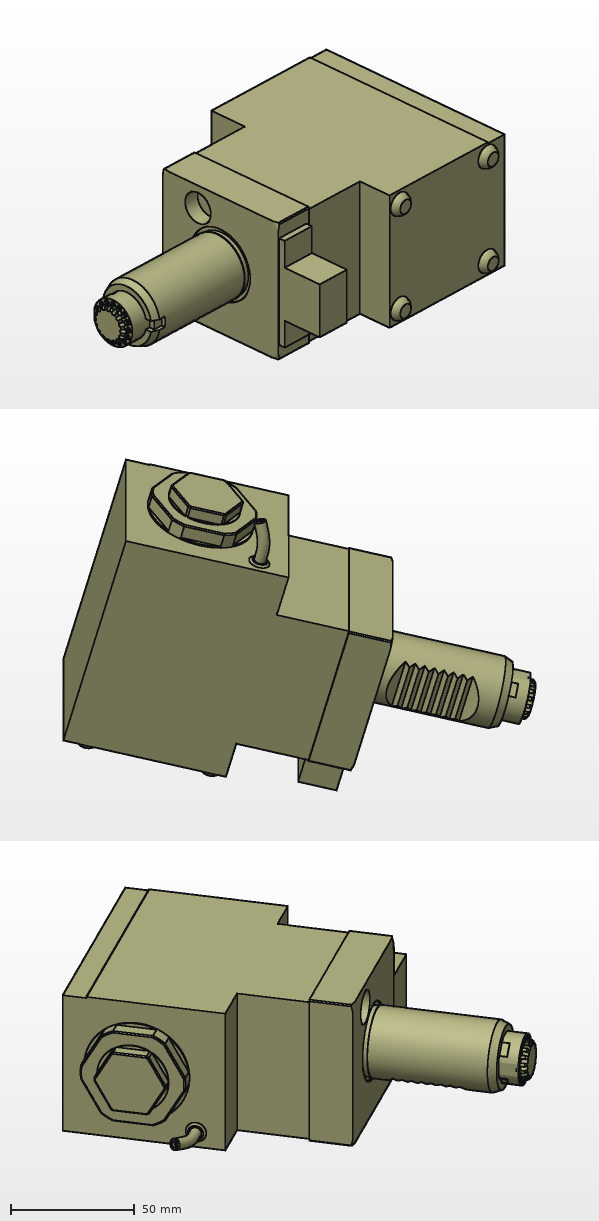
import cadquery as cq
import math


HOUSING_LEFT = -50.3
HOUSING_RIGHT = 48.2
HOUSING_FRONT = 48.3
HOUSING_BACK = 116.2
HOUSING_HEIGHT = 62.0
BACK_STEP_LENGTH = 9.9
BACK_STEP_DROP = 0.5

FLANGE_SIZE = 64.0
NECK_WIDTH = 63.7
FLANGE_THICKNESS = 18.2
FLANGE_EDGE_CHAMFER = 0.5
CORNER_CUT_LEG = 3.3
CORNER_CUT_DEPTH = 0.7
FLANGE_HOLE_DIAMETER = 14.2
FLANGE_HOLE_DEPTH = 7.3
FLANGE_HOLE_X = -12.4
FLANGE_HOLE_Z = 21.5

KEY_FRONT = 0.5
KEY_DEPTH = 16.0
KEY_BASE_RIGHT = 35.0
KEY_BASE_HEIGHT = 50.0
KEY_RIGHT = 54.4
KEY_HEIGHT = 24.8

SHANK_DIAMETER = 30.0
SHANK_LENGTH = 55.0
SHANK_TIP_DIAMETER = 27.0
SHANK_TIP_LENGTH = 3.5
COLLAR_DIAMETER = 29.2
COLLAR_LENGTH = 1.5
COLLAR_RECESS_DIAMETER = 33.0
COLLAR_RECESS_DEPTH = 1.0

SERRATION_PITCH = 4.0
SERRATION_COUNT = 7
SERRATION_START = 11.0
SERRATION_ROOT_Z = -10.2
SERRATION_TOOTH_HEIGHT = 1.5
SERRATION_RAMP = 4.7

END_SLOT_WIDTH = 5.0
END_SLOT_STEP_RADIUS = 13.0
END_SLOT_INNER_DEPTH = 2.2
END_SLOT_OUTER_DEPTH = 6.5

NOSE_DIAMETER = 21.3
NOSE_LENGTH = 8.2
NOSE_FLAT_HALF_WIDTH = 2.7
POCKET_WIDTH = 5.8
POCKET_LENGTH = 3.3
POCKET_DEPTH = 0.4

SPLINE_DIAMETER = 16.5
SPLINE_TIP_DIAMETER = 14.2
SPLINE_ROOT_DIAMETER = 13.1
SPLINE_LENGTH = 3.0
SPLINE_CHAMFER_LENGTH = 1.0
SPLINE_TEETH = 16
SPLINE_GROOVE_WIDTH = 1.7
FACE_DIMPLE_DIAMETER = 2.2
FACE_DIMPLE_RADIUS = 9.0
FACE_DIMPLE_DEPTH = 1.0

SPINDLE_Y = 85.2
CLAMP_NUT_FLATS = 40.7
CLAMP_NUT_ROUND = 44.0
CLAMP_NUT_LENGTH = 6.7
TOOL_HEX_FLATS = 26.5
TOOL_HEX_ROUND = 30.0
TOOL_HEX_LENGTH = 4.7
WASHER_LENGTH = 0.7
TOOL_RECESS_DEPTH = 0.4
HEX_EDGE_CHAMFER = 0.5

TUBE_DIAMETER = 5.0
TUBE_BORE = 2.2
TUBE_BORE_DEPTH = 1.8
TUBE_Y = 60.5
TUBE_Z = -24.3
TUBE_STRAIGHT = 4.0
TUBE_BEND_RADIUS = 17.9
TUBE_BEND_ANGLE = 30
TUBE_TURN = 30
TUBE_END_LENGTH = 5.5
TUBE_TIP_CHAMFER = 0.5
TUBE_FOOT_DIAMETER = 8.5
TUBE_FOOT_TOP_DIAMETER = 6.4
TUBE_FOOT_LENGTH = 0.7

SCREW_DIAMETER = 10.5
SCREW_TOP_DIAMETER = 6.4
SCREW_HEIGHT = 3.3
SCREW_Y_POSITIONS = (54.4, 106.0)
SCREW_Z = 24.5

OVERLAP = 1.0


def block(x_range, y_range, z_range):
    """Axis-aligned box given by its limits on each axis."""
    (x0, x1), (y0, y1), (z0, z1) = x_range, y_range, z_range
    return cq.Workplane("XY").box(x1 - x0, y1 - y0, z1 - z0, centered=False).translate((x0, y0, z0))


def rod(diameter, y_start, length):
    """Cylinder on the shank axis, growing from y_start towards -Y."""
    return cq.Workplane("XZ").workplane(offset=-y_start).circle(diameter / 2).extrude(length)


def make_housing():
    half = HOUSING_HEIGHT / 2
    body = block((HOUSING_LEFT, HOUSING_RIGHT), (HOUSING_FRONT, HOUSING_BACK), (-half, half))
    step_start = HOUSING_BACK - BACK_STEP_LENGTH
    back_step = block((HOUSING_LEFT, HOUSING_RIGHT), (step_start, HOUSING_BACK), (half - BACK_STEP_DROP, half))
    half_neck = NECK_WIDTH / 2
    neck = block((-half_neck, half_neck), (0, HOUSING_FRONT), (-half, half))
    return body.cut(back_step).union(neck)


def make_flange():
    half = FLANGE_SIZE / 2
    flange = block((-half, half), (0, FLANGE_THICKNESS), (-half, half))
    return flange.edges("|Y").chamfer(FLANGE_EDGE_CHAMFER)


def corner_cut(side_x, side_z):
    """Wedge that bevels one corner of the flange front face."""
    tilt = math.degrees(math.atan2(CORNER_CUT_DEPTH, CORNER_CUT_LEG / math.sqrt(2)))
    wedge_size = 2 * CORNER_CUT_LEG
    wedge = block((0, wedge_size), (-wedge_size, 0), (-wedge_size, wedge_size))
    wedge = wedge.rotate((0, 0, 0), (0, 0, 1), tilt)
    diagonal = math.degrees(math.atan2(side_z, side_x))
    wedge = wedge.rotate((0, 0, 0), (0, 1, 0), -diagonal)
    inner = FLANGE_SIZE / 2 - CORNER_CUT_LEG / 2
    return wedge.translate((side_x * inner, 0, side_z * inner))


def bevel_flange_corners(part):
    for side_x in (-1, 1):
        for side_z in (-1, 1):
            part = part.cut(corner_cut(side_x, side_z))
    return part


def make_key_block():
    y_range = (KEY_FRONT, KEY_FRONT + KEY_DEPTH)
    inner_x = FLANGE_SIZE / 2 - OVERLAP
    plate = block((inner_x, KEY_BASE_RIGHT), y_range, (-KEY_BASE_HEIGHT / 2, KEY_BASE_HEIGHT / 2))
    key = block((inner_x, KEY_RIGHT), y_range, (-KEY_HEIGHT / 2, KEY_HEIGHT / 2))
    return plate.union(key)


def make_shank():
    """Collar, cylinder and tapered tip turned about the Y axis."""
    r = SHANK_DIAMETER / 2
    r_collar = COLLAR_DIAMETER / 2
    taper_start = SHANK_LENGTH - SHANK_TIP_LENGTH
    profile = [
        (0, COLLAR_RECESS_DEPTH + OVERLAP),
        (r_collar, COLLAR_RECESS_DEPTH + OVERLAP),
        (r_collar, -COLLAR_LENGTH),
        (r, -COLLAR_LENGTH),
        (r, -taper_start),
        (SHANK_TIP_DIAMETER / 2, -SHANK_LENGTH),
        (0, -SHANK_LENGTH),
    ]
    return cq.Workplane("XY").polyline(profile).close().revolve(360, (0, 0, 0), (0, 1, 0))


def serration_cut():
    """Flat with crosswise V teeth and a ramp at each end."""
    start = -SERRATION_START
    end = start - SERRATION_COUNT * SERRATION_PITCH
    rim_z = -SHANK_DIAMETER / 2
    outline = [(start + SERRATION_RAMP, rim_z), (start, SERRATION_ROOT_Z)]
    for i in range(SERRATION_COUNT):
        root_y = start - i * SERRATION_PITCH
        outline.append((root_y - SERRATION_PITCH / 2, SERRATION_ROOT_Z - SERRATION_TOOTH_HEIGHT))
        outline.append((root_y - SERRATION_PITCH, SERRATION_ROOT_Z))
    outline.append((end - SERRATION_RAMP, rim_z))
    return cq.Workplane("YZ").polyline(outline).close().extrude(SHANK_DIAMETER / 2, both=True)


def end_slot_cut():
    """Stepped radial slot in the shank end, on the +X side."""
    z_range = (-END_SLOT_WIDTH / 2, END_SLOT_WIDTH / 2)
    rim = SHANK_DIAMETER / 2
    inner = block((0, rim), (-SHANK_LENGTH, END_SLOT_INNER_DEPTH - SHANK_LENGTH), z_range)
    outer = block((END_SLOT_STEP_RADIUS, rim), (-SHANK_LENGTH, END_SLOT_OUTER_DEPTH - SHANK_LENGTH), z_range)
    return inner.union(outer)


def make_nose():
    r = NOSE_DIAMETER / 2
    inside = END_SLOT_INNER_DEPTH + OVERLAP
    nose = rod(NOSE_DIAMETER, inside - SHANK_LENGTH, NOSE_LENGTH + inside)
    flat_x = -math.sqrt(r**2 - NOSE_FLAT_HALF_WIDTH**2)
    nose_y_range = (-SHANK_LENGTH - NOSE_LENGTH, -SHANK_LENGTH)
    nose = nose.cut(block((-r, flat_x), nose_y_range, (-r, r)))
    for angle in (-45, 45):
        pocket = block(
            (-r, POCKET_DEPTH - math.sqrt(r**2 - (POCKET_WIDTH / 2) ** 2)),
            (-SHANK_LENGTH - POCKET_LENGTH, -SHANK_LENGTH),
            (-POCKET_WIDTH / 2, POCKET_WIDTH / 2),
        )
        nose = nose.cut(pocket.rotate((0, 0, 0), (0, 1, 0), angle))
    return nose


def make_spline():
    """Short toothed tip: a chamfered disc with round grooves between the teeth."""
    base_y = -SHANK_LENGTH - NOSE_LENGTH
    tip_y = base_y - SPLINE_LENGTH
    r = SPLINE_DIAMETER / 2
    profile = [
        (0, base_y + OVERLAP),
        (r, base_y + OVERLAP),
        (r, tip_y + SPLINE_CHAMFER_LENGTH),
        (SPLINE_TIP_DIAMETER / 2, tip_y),
        (0, tip_y),
    ]
    spline = cq.Workplane("XY").polyline(profile).close().revolve(360, (0, 0, 0), (0, 1, 0))
    groove_length = 2 * SPLINE_GROOVE_WIDTH
    groove_center = (SPLINE_ROOT_DIAMETER + groove_length) / 2
    grooves = (
        cq.Workplane("XZ")
        .workplane(offset=-base_y)
        .polarArray(groove_center, 0, 360, SPLINE_TEETH)
        .slot2D(groove_length, SPLINE_GROOVE_WIDTH)
        .extrude(SPLINE_LENGTH)
    )
    return spline.cut(grooves)


def face_dimples():
    """Ring of round dimples in the nose end face, one outside each spline groove."""
    dimple_start = FACE_DIMPLE_DEPTH - SHANK_LENGTH - NOSE_LENGTH
    return (
        cq.Workplane("XZ")
        .workplane(offset=-dimple_start)
        .polarArray(FACE_DIMPLE_RADIUS, 0, 360, SPLINE_TEETH)
        .circle(FACE_DIMPLE_DIAMETER / 2)
        .extrude(FACE_DIMPLE_DEPTH)
    )


def disc_on_spindle(diameter, base_x, length):
    """Cylinder on the spindle axis, growing from base_x towards -X."""
    return cq.Workplane("YZ", origin=(base_x, SPINDLE_Y, 0)).circle(diameter / 2).extrude(-length)


def hex_stage(base_x, flats, round_diameter, length):
    """Chamfered hexagon with rounded corners, growing from base_x towards -X."""
    inner_x = base_x + OVERLAP
    across_corners = flats / math.cos(math.pi / 6)
    hexagon = (
        cq.Workplane("YZ", origin=(inner_x, SPINDLE_Y, 0))
        .polygon(6, across_corners)
        .extrude(-length - OVERLAP)
    )
    hexagon = hexagon.intersect(disc_on_spindle(round_diameter, inner_x, length + OVERLAP))
    return hexagon.faces("<X").chamfer(HEX_EDGE_CHAMFER)


def make_spindle():
    """Clamp nut on its washer, with the tool hexagon standing in a shallow round recess."""
    washer = disc_on_spindle(CLAMP_NUT_ROUND, HOUSING_LEFT + OVERLAP, WASHER_LENGTH + OVERLAP)
    nut = hex_stage(HOUSING_LEFT, CLAMP_NUT_FLATS, CLAMP_NUT_ROUND, CLAMP_NUT_LENGTH)
    nut_face = HOUSING_LEFT - CLAMP_NUT_LENGTH
    nut = nut.cut(disc_on_spindle(TOOL_HEX_ROUND, nut_face + TOOL_RECESS_DEPTH, TOOL_RECESS_DEPTH))
    tool_hex = hex_stage(nut_face, TOOL_HEX_FLATS, TOOL_HEX_ROUND, TOOL_HEX_LENGTH)
    return washer.union(nut).union(tool_hex)


def make_coolant_tube():
    """Tube leaving the housing along -X, bending towards +Y, then turned about its foot axis."""
    bend = math.radians(TUBE_BEND_ANGLE)
    half_bend = bend / 2
    bend_x = -TUBE_STRAIGHT
    mid = (bend_x - TUBE_BEND_RADIUS * math.sin(half_bend), TUBE_BEND_RADIUS * (1 - math.cos(half_bend)))
    bend_end = (bend_x - TUBE_BEND_RADIUS * math.sin(bend), TUBE_BEND_RADIUS * (1 - math.cos(bend)))
    direction = (-math.cos(bend), math.sin(bend))
    tip = tuple(p + TUBE_END_LENGTH * d for p, d in zip(bend_end, direction))
    path = (
        cq.Workplane("XY")
        .moveTo(OVERLAP, 0)
        .lineTo(bend_x, 0)
        .threePointArc(mid, bend_end)
        .lineTo(*tip)
    )
    tube = cq.Workplane("YZ", origin=(OVERLAP, 0, 0)).circle(TUBE_DIAMETER / 2).sweep(path)
    tube = tube.faces("<X").chamfer(TUBE_TIP_CHAMFER)
    tip_plane = cq.Plane(origin=(tip[0], tip[1], 0), xDir=(0, 0, 1), normal=(direction[0], direction[1], 0))
    tube = tube.cut(cq.Workplane(tip_plane).circle(TUBE_BORE / 2).extrude(-TUBE_BORE_DEPTH))
    foot = (
        cq.Workplane("XY")
        .polyline([
            (OVERLAP, 0),
            (OVERLAP, TUBE_FOOT_DIAMETER / 2),
            (0, TUBE_FOOT_DIAMETER / 2),
            (-TUBE_FOOT_LENGTH, TUBE_FOOT_TOP_DIAMETER / 2),
            (-TUBE_FOOT_LENGTH, 0),
        ])
        .close()
        .revolve(360, (0, 0, 0), (1, 0, 0))
    )
    tube = tube.union(foot).rotate((0, 0, 0), (1, 0, 0), TUBE_TURN)
    return tube.translate((HOUSING_LEFT, TUBE_Y, TUBE_Z))


def make_screw_head(y, z):
    """Domed head with a flat top, turned about an X-parallel axis."""
    r = SCREW_DIAMETER / 2
    r_top = SCREW_TOP_DIAMETER / 2
    center = (r_top**2 + SCREW_HEIGHT**2 - r**2) / (2 * SCREW_HEIGHT)
    sphere_radius = math.hypot(r, center)
    mid_height = SCREW_HEIGHT / 2
    mid_radius = math.sqrt(sphere_radius**2 - (mid_height - center) ** 2)
    head = (
        cq.Workplane("XY")
        .moveTo(-OVERLAP, 0)
        .lineTo(-OVERLAP, r)
        .lineTo(0, r)
        .threePointArc((mid_height, mid_radius), (SCREW_HEIGHT, r_top))
        .lineTo(SCREW_HEIGHT, 0)
        .close()
        .revolve(360, (0, 0, 0), (1, 0, 0))
    )
    return head.translate((HOUSING_RIGHT, y, z))


housing = make_housing().union(make_flange())
housing = bevel_flange_corners(housing)
housing = housing.cut(rod(COLLAR_RECESS_DIAMETER, COLLAR_RECESS_DEPTH, COLLAR_RECESS_DEPTH))
hole = rod(FLANGE_HOLE_DIAMETER, FLANGE_HOLE_DEPTH, FLANGE_HOLE_DEPTH)
housing = housing.cut(hole.translate((FLANGE_HOLE_X, 0, FLANGE_HOLE_Z)))

shank = make_shank().cut(serration_cut()).cut(end_slot_cut())
shank = shank.union(make_nose()).cut(face_dimples()).union(make_spline())

result = housing.union(make_key_block()).union(shank)
result = result.union(make_spindle()).union(make_coolant_tube())
for screw_y in SCREW_Y_POSITIONS:
    for screw_z in (-SCREW_Z, SCREW_Z):
        result = result.union(make_screw_head(screw_y, screw_z))